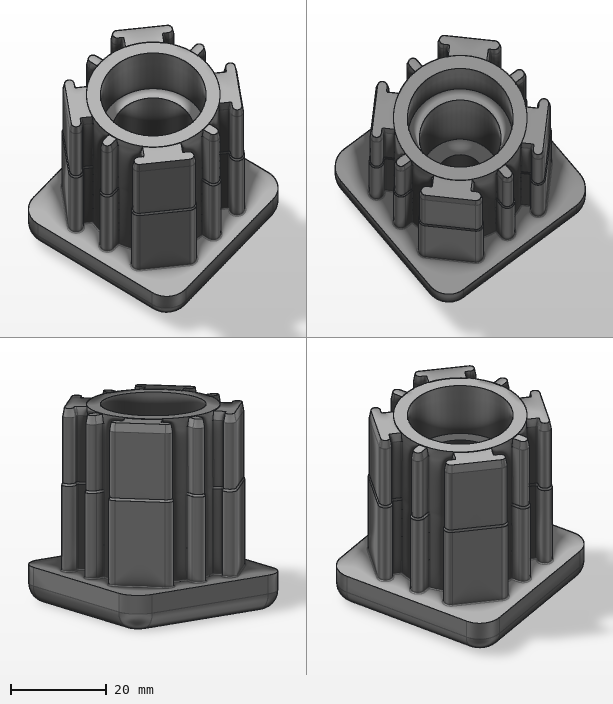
import cadquery as cq
import math

base_side = 40
base_height = 8.0
base_corner_radius = 5.0
base_edge_radius = 4.0

total_height = 43
tube_bottom_radius = 14.05
tube_top_radius = 13.95
mouth_radius = 11.0
mouth_depth = 12.0
pocket_radius = 8.5
hole_radius = 5.05

rib_step_bottom = 26.3
rib_step_top = 26.85
rib_taper_start = 41.0
rib_top = 42.85
step_inset = 0.2
tip_inset = 0.55

foot_fillet = 0.25
tube_corner_fillet = 0.2

edge_margin = 0.05

fin_half_width = 1.55
fin_round_center = 15.8

arm_half_thickness = 1.55
arm_round_center = 5.3
arm_outer_face = 18.5
arm_center = arm_outer_face - arm_half_thickness
stem_half_width = 4.6
stem_fillet = 0.35

rib_root = (mouth_radius + tube_top_radius) / 2


def fin_profile(height, inset):
    """Round-ended fin pointing along +X, with its sides moved inwards by inset."""
    half_width = fin_half_width - inset
    return (
        cq.Workplane("XY", origin=(0, 0, height))
        .moveTo(rib_root, -half_width)
        .lineTo(fin_round_center, -half_width)
        .threePointArc((fin_round_center + half_width, 0), (fin_round_center, half_width))
        .lineTo(rib_root, half_width)
        .close()
    )


def t_profile(height, inset):
    """T with round arm ends, stem along +X, with its sides moved inwards by inset."""
    radius = arm_half_thickness - inset
    stem = stem_half_width - inset
    inner = arm_center - radius
    outer = arm_center + radius
    arm_tip = arm_round_center + radius
    fillet_start = inner - stem_fillet
    fillet_end = stem + stem_fillet
    fillet_bulge = stem_fillet * (1 - math.sqrt(0.5))
    fillet_mid = (inner - fillet_bulge, stem + fillet_bulge)
    return (
        cq.Workplane("XY", origin=(0, 0, height))
        .moveTo(rib_root, -stem)
        .lineTo(fillet_start, -stem)
        .threePointArc((fillet_mid[0], -fillet_mid[1]), (inner, -fillet_end))
        .lineTo(inner, -arm_round_center)
        .threePointArc((arm_center, -arm_tip), (outer, -arm_round_center))
        .lineTo(outer, arm_round_center)
        .threePointArc((arm_center, arm_tip), (inner, arm_round_center))
        .lineTo(inner, fillet_end)
        .threePointArc(fillet_mid, (fillet_start, stem))
        .lineTo(rib_root, stem)
        .close()
    )


def loft_profile(profile, bottom, bottom_inset, top, top_inset):
    """Straight-sided solid between two insets of the same profile."""
    lower_wire = profile(bottom, bottom_inset).wire().val()
    upper_wire = profile(top, top_inset).wire().val()
    return cq.Workplane(cq.Solid.makeLoft([lower_wire, upper_wire], True))


def make_shaft(profile):
    """Upright part of a rib, with the small step inwards partway up."""
    lower = profile(base_height, 0).extrude(rib_step_bottom - base_height)
    step = loft_profile(profile, rib_step_bottom, 0, rib_step_top, step_inset)
    upper = profile(rib_step_top, step_inset).extrude(rib_taper_start - rib_step_top)
    return lower.union(step).union(upper)


def make_tip(profile):
    """Tapered end of a rib."""
    return loft_profile(profile, rib_taper_start, step_inset, rib_top, tip_inset)


def add_around(body, on_sides, on_diagonals):
    """Add one piece on each of the four sides and another on each diagonal."""
    for quarter in range(4):
        angle = 90 * quarter
        body = body.union(on_sides.rotate((0, 0, 0), (0, 0, 1), angle))
        body = body.union(on_diagonals.rotate((0, 0, 0), (0, 0, 1), angle + 45))
    return body


def make_base():
    return (
        cq.Workplane("XY")
        .rect(base_side, base_side)
        .extrude(base_height)
        .edges("|Z")
        .fillet(base_corner_radius)
        .faces("<Z")
        .edges()
        .fillet(base_edge_radius)
    )


def make_tube():
    tube_height = total_height - base_height
    cone = cq.Solid.makeCone(tube_bottom_radius, tube_top_radius, tube_height)
    return cq.Workplane(cone.translate(cq.Vector(0, 0, base_height)))


def is_tube_corner(edge):
    """True for the upright edges where a rib meets the tube."""
    center = edge.Center()
    box = edge.BoundingBox()
    touches_tube = math.hypot(center.x, center.y) < tube_bottom_radius + edge_margin
    on_ribs = box.zmin > base_height - edge_margin and box.zmax < rib_taper_start + edge_margin
    return touches_tube and on_ribs and box.zlen > edge_margin


def bore(radius, bottom):
    return cq.Workplane("XY", origin=(0, 0, bottom)).circle(radius).extrude(total_height - bottom)


body = make_base().union(make_tube())
body = add_around(body, make_shaft(fin_profile), make_shaft(t_profile))

body = body.edges().filter(is_tube_corner).fillet(tube_corner_fillet)

foot_reach = base_side / 2 - edge_margin
foot_edges = cq.selectors.BoxSelector(
    (-foot_reach, -foot_reach, base_height - edge_margin),
    (foot_reach, foot_reach, base_height + edge_margin),
    boundingbox=True,
)
body = body.edges(foot_edges).fillet(foot_fillet)

body = add_around(body, make_tip(fin_profile), make_tip(t_profile))

result = (
    body.cut(bore(mouth_radius, total_height - mouth_depth))
    .cut(bore(pocket_radius, base_height))
    .cut(bore(hole_radius, 0))
)